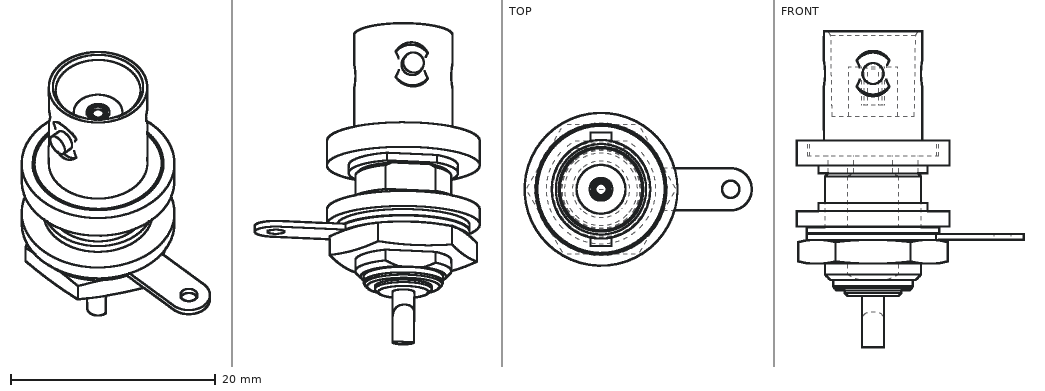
import cadquery as cq


TOTAL_HEIGHT = 31.0
PIN_ROOT_Z = 5.02
BOTTOM_STEP_Z = 5.58
THREAD_END_Z = 6.6
NUT_BOTTOM_Z = 8.2
TAG_BOTTOM_Z = 10.55
TAG_TOP_Z = 11.13
WASHER_BOTTOM_Z = 11.2
WASHER_TOP_Z = 11.78
LOWER_DISC_BOTTOM_Z = 11.85
LOWER_DISC_TOP_Z = 13.35
LOWER_BOSS_TOP_Z = 14.17
UPPER_BOSS_BOTTOM_Z = 17.05
UPPER_DISC_BOTTOM_Z = 17.82
UPPER_DISC_TOP_Z = 20.3
LUG_Z = 26.85

THREAD_RADIUS = 4.7
THREAD_FLAT_Y = 4.0
THREAD_TOP_CHAMFER = 0.28
THREAD_END_CHAMFER = 0.53
NECK_RADIUS = THREAD_RADIUS - THREAD_TOP_CHAMFER

DISC_RADIUS = 7.5
BOSS_RADIUS = 5.35
BOSS_FLAT_Y = 4.75
CUP_RADIUS = 6.42
FLANGE_RADIUS = 6.23
FLANGE_THICKNESS = 1.55

SHELL_RADIUS = 4.85
GROOVE_DEPTH = 0.12
GROOVE_HALF_HEIGHT = 1.3
MOUTH_RADIUS = 4.43
MOUTH_INNER_RADIUS = 4.15
MOUTH_DEPTH = 0.43
BORE_RADIUS = 4.03
BORE_DEPTH = 8.37

LUG_RADIUS = 1.02
LUG_REACH = 5.55
LUG_ROOT_Y = 4.35
LUG_FLAT_Y = 4.55
LUG_FLAT_RADIUS = 2.05
LUG_FLAT_RIM_RADIUS = 2.23

DIELECTRIC_RADIUS = 2.4
DIELECTRIC_RECESS = 3.5
DIELECTRIC_HOLE_RADIUS = 1.12
CONTACT_RADIUS = 0.9
CONTACT_RIM_RADIUS = 0.75
CONTACT_HOLE_RADIUS = 0.55
CONTACT_HOLE_DEPTH = 3.72

STEP_RADIUS = 3.9
STEP_CHAMFER = 0.35
STEP_BEVEL_WIDTH = 0.1
STEP_BEVEL_HEIGHT = 0.22
COLLAR_RADIUS = 2.8
COLLAR_CHAMFER = 0.3
PIN_RADIUS = 1.1
PIN_SCOOP_RADIUS = 1.77
PIN_SCOOP_Z = 1.85

WASHER_RADIUS = 6.5
TAG_END_RADIUS = 2.08
TAG_REACH = 14.8
TAG_HOLE_RADIUS = 0.85
NUT_CORNER_RADIUS = 7.35
NUT_CHAMFER_RADIUS = 6.4
NUT_CHAMFER_HEIGHT = 0.22


def disc(radius, bottom, top):
    """Round disc on the Z axis between two heights."""
    return cq.Workplane("XY").workplane(offset=bottom).circle(radius).extrude(top - bottom)


def revolve_about_z(profile):
    """Solid of revolution from a closed profile drawn as radius and height."""
    return profile.close().revolve(360, (0, 0, 0), (0, 1, 0))


def trim_to_flat(body, flat_y):
    """Cut away all of a round body that lies beyond a flat on its +Y side."""
    size = 2 * TOTAL_HEIGHT
    beyond = cq.Workplane("XY").box(size, size, size).translate((0, flat_y + size / 2, 0))
    return body.cut(beyond)


def threaded_barrel():
    """Thread with a flat, tapered in to the neck at its top and chamfered at its end."""
    profile = cq.Workplane("XZ").polyline([
        (0, THREAD_END_Z),
        (THREAD_RADIUS - THREAD_END_CHAMFER, THREAD_END_Z),
        (THREAD_RADIUS, THREAD_END_Z + THREAD_END_CHAMFER),
        (THREAD_RADIUS, UPPER_BOSS_BOTTOM_Z - THREAD_TOP_CHAMFER),
        (NECK_RADIUS, UPPER_BOSS_BOTTOM_Z),
        (NECK_RADIUS, UPPER_DISC_TOP_Z - FLANGE_THICKNESS),
        (0, UPPER_DISC_TOP_Z - FLANGE_THICKNESS),
    ])
    return trim_to_flat(revolve_about_z(profile), THREAD_FLAT_Y)


def shell():
    """Socket shell on its flange, with a shallow rounded groove at the lug height."""
    flange = disc(FLANGE_RADIUS, UPPER_DISC_TOP_Z - FLANGE_THICKNESS, UPPER_DISC_TOP_Z)
    profile = (
        cq.Workplane("XZ")
        .moveTo(0, UPPER_DISC_TOP_Z)
        .lineTo(SHELL_RADIUS, UPPER_DISC_TOP_Z)
        .lineTo(SHELL_RADIUS, LUG_Z - GROOVE_HALF_HEIGHT)
        .threePointArc(
            (SHELL_RADIUS - GROOVE_DEPTH, LUG_Z),
            (SHELL_RADIUS, LUG_Z + GROOVE_HALF_HEIGHT),
        )
        .lineTo(SHELL_RADIUS, TOTAL_HEIGHT)
        .lineTo(0, TOTAL_HEIGHT)
    )
    return flange.union(revolve_about_z(profile))


def socket_bore():
    """Annular space inside the shell, around the dielectric, open at the top."""
    bore = revolve_about_z(cq.Workplane("XZ").polyline([
        (0, TOTAL_HEIGHT),
        (MOUTH_RADIUS, TOTAL_HEIGHT),
        (MOUTH_INNER_RADIUS, TOTAL_HEIGHT - MOUTH_DEPTH),
        (BORE_RADIUS, TOTAL_HEIGHT - BORE_DEPTH),
        (0, TOTAL_HEIGHT - BORE_DEPTH),
    ]))
    dielectric = disc(DIELECTRIC_RADIUS, TOTAL_HEIGHT - BORE_DEPTH, TOTAL_HEIGHT - DIELECTRIC_RECESS)
    return bore.cut(dielectric)


def contact_hole():
    """Clearance around the centre contact, and the countersunk hole down its middle."""
    top = TOTAL_HEIGHT - DIELECTRIC_RECESS
    bottom = top - CONTACT_HOLE_DEPTH
    countersink_bottom = top - (CONTACT_RIM_RADIUS - CONTACT_HOLE_RADIUS)
    clearance = disc(DIELECTRIC_HOLE_RADIUS, bottom, top).cut(disc(CONTACT_RADIUS, bottom, top))
    hole = revolve_about_z(cq.Workplane("XZ").polyline([
        (0, top),
        (CONTACT_RIM_RADIUS, top),
        (CONTACT_HOLE_RADIUS, countersink_bottom),
        (CONTACT_HOLE_RADIUS, bottom),
        (0, bottom),
    ]))
    return clearance.union(hole)


def lug_flat():
    """Cutter for the flat-bottomed conical recess around the lug on the +Y side."""
    slope = (LUG_FLAT_RIM_RADIUS - LUG_FLAT_RADIUS) / (SHELL_RADIUS - LUG_FLAT_Y)
    outer_radius = LUG_FLAT_RADIUS + slope * (LUG_REACH - LUG_FLAT_Y)
    axis_start = cq.Vector(0, LUG_FLAT_Y, LUG_Z)
    return cq.Workplane(obj=cq.Solid.makeCone(
        LUG_FLAT_RADIUS, outer_radius, LUG_REACH - LUG_FLAT_Y, axis_start, cq.Vector(0, 1, 0)
    ))


def lug():
    """Bayonet lug on the +Y side, rooted in the shell wall."""
    return cq.Workplane(obj=cq.Solid.makeCylinder(
        LUG_RADIUS, LUG_REACH - LUG_ROOT_Y, cq.Vector(0, LUG_ROOT_Y, LUG_Z), cq.Vector(0, 1, 0)
    ))


def bottom_end():
    """Stepped and chamfered end below the thread."""
    step_base_radius = STEP_RADIUS - STEP_CHAMFER
    bevel_bottom_z = BOTTOM_STEP_Z + STEP_CHAMFER - STEP_BEVEL_WIDTH
    return revolve_about_z(cq.Workplane("XZ").polyline([
        (0, PIN_ROOT_Z),
        (COLLAR_RADIUS - COLLAR_CHAMFER, PIN_ROOT_Z),
        (COLLAR_RADIUS, PIN_ROOT_Z + COLLAR_CHAMFER),
        (COLLAR_RADIUS, BOTTOM_STEP_Z),
        (step_base_radius, BOTTOM_STEP_Z),
        (STEP_RADIUS - STEP_BEVEL_WIDTH, bevel_bottom_z),
        (STEP_RADIUS, bevel_bottom_z + STEP_BEVEL_HEIGHT),
        (STEP_RADIUS, THREAD_END_Z),
        (0, THREAD_END_Z),
    ]))


def solder_pin():
    """Pin cut back to its axis on the +Y side, ending in a round scoop."""
    scoop = (
        cq.Workplane("YZ")
        .center(PIN_SCOOP_RADIUS, PIN_SCOOP_Z)
        .circle(PIN_SCOOP_RADIUS)
        .extrude(PIN_RADIUS, both=True)
    )
    half = cq.Workplane("XY").box(
        2 * PIN_RADIUS, PIN_RADIUS, PIN_SCOOP_Z, centered=(True, False, False)
    )
    return disc(PIN_RADIUS, 0, PIN_ROOT_Z).cut(scoop).cut(half)


def solder_tag():
    """Ring as wide as the washer, with an arm toward +X, rounded at its end around a wire hole."""
    thickness = TAG_TOP_Z - TAG_BOTTOM_Z
    end_x = TAG_REACH - TAG_END_RADIUS
    plane = cq.Workplane("XY").workplane(offset=TAG_BOTTOM_Z)
    arm = (
        plane.moveTo(0, -TAG_END_RADIUS)
        .lineTo(end_x, -TAG_END_RADIUS)
        .threePointArc((TAG_REACH, 0), (end_x, TAG_END_RADIUS))
        .lineTo(0, TAG_END_RADIUS)
        .close()
        .extrude(thickness)
    )
    hole = plane.center(end_x, 0).circle(TAG_HOLE_RADIUS).extrude(thickness)
    return disc(WASHER_RADIUS, TAG_BOTTOM_Z, TAG_TOP_Z).union(arm).cut(hole)


def hex_nut():
    """Hexagon with corners on the X axis, its corners chamfered at both ends."""
    hexagon = (
        cq.Workplane("XY")
        .workplane(offset=NUT_BOTTOM_Z)
        .polygon(6, 2 * NUT_CORNER_RADIUS)
        .extrude(TAG_BOTTOM_Z - NUT_BOTTOM_Z)
    )
    envelope = revolve_about_z(cq.Workplane("XZ").polyline([
        (0, NUT_BOTTOM_Z),
        (NUT_CHAMFER_RADIUS, NUT_BOTTOM_Z),
        (NUT_CORNER_RADIUS, NUT_BOTTOM_Z + NUT_CHAMFER_HEIGHT),
        (NUT_CORNER_RADIUS, TAG_BOTTOM_Z - NUT_CHAMFER_HEIGHT),
        (NUT_CHAMFER_RADIUS, TAG_BOTTOM_Z),
        (0, TAG_BOTTOM_Z),
    ]))
    return hexagon.intersect(envelope)


def make_connector():
    """Whole metal connector with its dielectric, contact, washer, tag and nut."""
    body = shell().cut(socket_bore()).cut(contact_hole())
    for side_angle in (0, 180):
        turned_flat = lug_flat().rotate((0, 0, 0), (0, 0, 1), side_angle)
        turned_lug = lug().rotate((0, 0, 0), (0, 0, 1), side_angle)
        body = body.cut(turned_flat).union(turned_lug)
    washer = disc(WASHER_RADIUS, WASHER_BOTTOM_Z, WASHER_TOP_Z)
    for feature in (threaded_barrel(), bottom_end(), solder_pin(), washer, solder_tag(), hex_nut()):
        body = body.union(feature)
    return body


def make_upper_insulator():
    """Cup around the shell flange, with a boss below that has a flat on +Y."""
    boss = trim_to_flat(disc(BOSS_RADIUS, UPPER_BOSS_BOTTOM_Z, UPPER_DISC_BOTTOM_Z), BOSS_FLAT_Y)
    recess_floor = UPPER_DISC_TOP_Z - FLANGE_THICKNESS
    return (
        disc(DISC_RADIUS, UPPER_DISC_BOTTOM_Z, UPPER_DISC_TOP_Z)
        .union(boss)
        .cut(disc(CUP_RADIUS, recess_floor, UPPER_DISC_TOP_Z))
        .cut(threaded_barrel())
    )


def make_lower_insulator():
    """Disc with a boss above that has a flat on +Y, bored to fit the thread."""
    boss = trim_to_flat(disc(BOSS_RADIUS, LOWER_DISC_TOP_Z, LOWER_BOSS_TOP_Z), BOSS_FLAT_Y)
    return (
        disc(DISC_RADIUS, LOWER_DISC_BOTTOM_Z, LOWER_DISC_TOP_Z)
        .union(boss)
        .cut(threaded_barrel())
    )


connector = make_connector()
upper_insulator = make_upper_insulator()
lower_insulator = make_lower_insulator()

result = cq.Compound.makeCompound([
    connector.solids().val(),
    upper_insulator.solids().val(),
    lower_insulator.solids().val(),
])